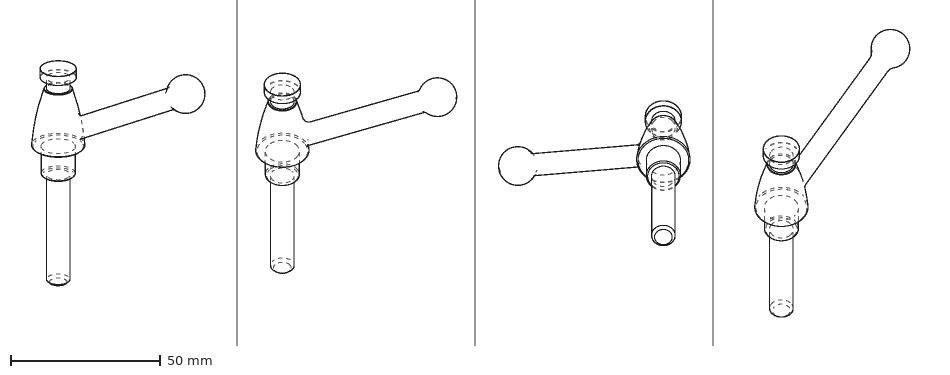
import cadquery as cq
import math

shaft_diameter = 8.0
collar_diameter = 11.5
button_diameter = 12.2
collar_bottom = 40.0
button_bottom = 76.0
button_top = 79.5
shaft_chamfer = 1.0
collar_chamfer = 0.5
button_chamfer = 0.1

hub_bottom = 50.5
hub_top = 72.1
hub_base_diameter = 17.9
hub_top_diameter = 9.6
hub_middle_diameter = 15.0
hub_middle_height = 61.6
hub_edge_chamfer = 0.5
hub_top_chamfer = 0.2

total_height = 92.5
total_length = 69.5
ball_diameter = 13.0
arm_diameter = 7.5
arm_angle = 30.0
ball_neck_fillet = 3.0
arm_root_fillet = 2.0

ball_radius = ball_diameter / 2
arm_radius = arm_diameter / 2
ball_x = total_length - hub_base_diameter / 2 - ball_radius
ball_z = total_height - ball_radius
arm_length = ball_x / math.cos(math.radians(arm_angle))


def cylinder(diameter, bottom, top):
    """Upright cylinder on the Z axis."""
    return cq.Workplane("XY").workplane(offset=bottom).circle(diameter / 2).extrude(top - bottom)


def make_spindle():
    shaft = cylinder(shaft_diameter, 0, button_top).faces("<Z").chamfer(shaft_chamfer)
    collar = cylinder(collar_diameter, collar_bottom, hub_top).faces("<Z").chamfer(collar_chamfer)
    collar = collar.intersect(cylinder(collar_diameter, collar_bottom, hub_bottom))
    button = cylinder(button_diameter, button_bottom, button_top).edges().chamfer(button_chamfer)
    return shaft.union(collar).union(button)


def make_hub():
    base_radius = hub_base_diameter / 2
    side_bottom = hub_bottom + hub_edge_chamfer
    side_top = hub_top - hub_top_chamfer
    return (
        cq.Workplane("XZ")
        .moveTo(0, hub_bottom)
        .lineTo(base_radius - hub_edge_chamfer, hub_bottom)
        .lineTo(base_radius, side_bottom)
        .threePointArc((hub_middle_diameter / 2, hub_middle_height), (hub_top_diameter / 2, side_top))
        .lineTo(hub_top_diameter / 2 - hub_top_chamfer, hub_top)
        .lineTo(0, hub_top)
        .close()
        .revolve(360, (0, 0), (0, 1))
        .rotate((0, 0, 0), (0, 0, 1), 180)
    )


def make_arm():
    """Round arm from the spindle axis to the ball centre."""
    slope = math.radians(arm_angle)
    direction = (math.cos(slope), 0, math.sin(slope))
    start = (0, 0, ball_z - ball_x * math.tan(slope))
    plane = cq.Plane(origin=start, xDir=(0, 1, 0), normal=direction)
    return cq.Workplane(plane).circle(arm_radius).extrude(arm_length)


def make_ball():
    return cq.Workplane("XY").sphere(ball_radius).translate((ball_x, 0, ball_z))


def fillet_joint(body, near_point, radius):
    return body.edges(cq.selectors.NearestToPointSelector(near_point)).fillet(radius)


hub_with_arm = make_hub().union(make_arm())
arm_root = (hub_base_diameter / 2, 0, hub_middle_height)
hub_with_arm = fillet_joint(hub_with_arm, arm_root, arm_root_fillet)
lever = hub_with_arm.union(make_ball())
lever = fillet_joint(lever, (ball_x - ball_radius, 0, ball_z - arm_radius), ball_neck_fillet)

result = lever.union(make_spindle())